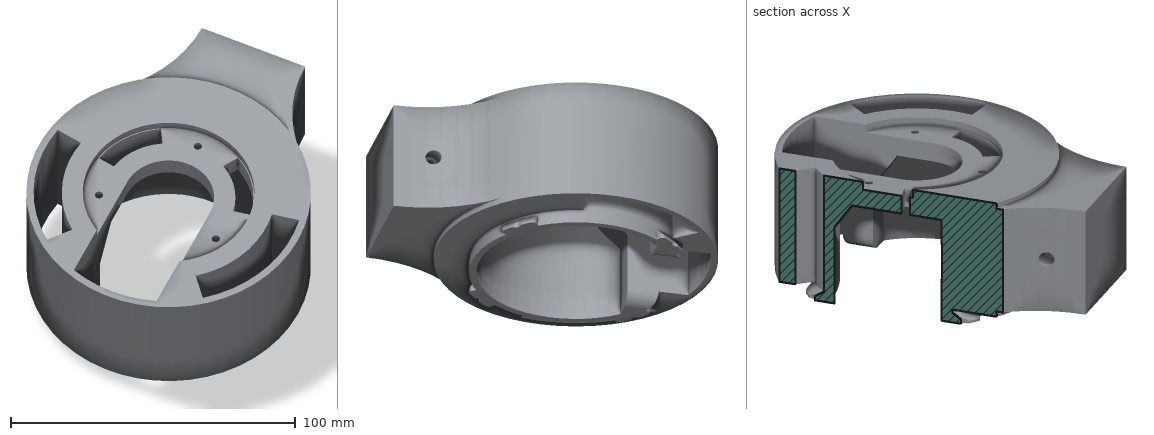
import cadquery as cq
import math

body_radius = 50.0
body_height = 44.1
foot_height = 5.0
total_length = 121.1
top_z = foot_height + body_height

wall_inner_radius = 47.5
foot_radius = 37.5
cavity_radius = 35.0

neck_half_width = 20.0
neck_inset = 2.0
neck_end_y = total_length - body_radius
cross_hole_diameter = 2.9
cross_hole_from_end = 13.9
cross_counterbore_diameter = 5.5
cross_counterbore_floor_x = 17.0

recess_radius = 30.1
recess_depth = 3.0
plate_thickness = 7.0
plate_bottom_z = top_z - recess_depth - plate_thickness

slope_start_y = -13.6
slope_end_y = -22.8
slope_drop = 13.2

opening_half_width = 16.0
opening_flare_radius = foot_height

outer_slot_angles = (170, 309.5)
outer_slot_sweep = 60.5
inner_slot_angles = (10, 120)
inner_slot_sweep = 50
inner_slot_radii = (23.5, 29.8)
screw_hole_angles = (90, 202.5, 337.5)
screw_hole_circle_radius = 24.5
screw_hole_diameter = 2.9

lug_angles = (45, 135, 225, 315)
lug_sweep = 20
lug_radius = 40.6
lug_edge_height = 1.0
lug_top_gap = 1.0
lug_corner_radius = 1.5
detent_radius = 1.8
detent_depth = 1.0

root_overlap = 1.2
cut_margin = 1.2


def polar(radius, angle):
    """Point at the given radius and angle in degrees."""
    return (radius * math.cos(math.radians(angle)), radius * math.sin(math.radians(angle)))


def cylinder(radius, z_low, z_high):
    return cq.Workplane("XY").workplane(offset=z_low).circle(radius).extrude(z_high - z_low)


def ring_sector(inner_radius, outer_radius, start, sweep, z_low, z_high):
    """Part of a ring, from the start angle counterclockwise over the sweep."""
    middle = start + sweep / 2
    end = start + sweep
    return (
        cq.Workplane("XY")
        .workplane(offset=z_low)
        .moveTo(*polar(inner_radius, start))
        .lineTo(*polar(outer_radius, start))
        .threePointArc(polar(outer_radius, middle), polar(outer_radius, end))
        .lineTo(*polar(inner_radius, end))
        .threePointArc(polar(inner_radius, middle), polar(inner_radius, start))
        .close()
        .extrude(z_high - z_low)
    )


def neck():
    """Neck whose concave sides leave the end face square and run tangent into the body."""
    width_difference = body_radius - neck_half_width
    side_radius = (neck_half_width**2 + neck_end_y**2 - body_radius**2) / (2 * width_difference)
    center_x = neck_half_width + side_radius
    tangent_angle = math.degrees(math.atan2(neck_end_y, center_x))
    tangent_x, tangent_y = polar(body_radius, tangent_angle)
    offset_x, offset_y = polar(side_radius, 180 + tangent_angle / 2)
    middle_x = center_x + offset_x
    middle_y = neck_end_y + offset_y
    return (
        cq.Workplane("XY")
        .workplane(offset=foot_height + neck_inset)
        .moveTo(-neck_half_width, neck_end_y)
        .lineTo(neck_half_width, neck_end_y)
        .threePointArc((middle_x, middle_y), (tangent_x, tangent_y))
        .lineTo(0, 0)
        .lineTo(-tangent_x, tangent_y)
        .threePointArc((-middle_x, middle_y), (-neck_half_width, neck_end_y))
        .close()
        .extrude(body_height - 2 * neck_inset)
    )


def lug(angle):
    """Bayonet lug with a conical top, rounded ends and a detent groove in its middle."""
    lug_top_z = foot_height - lug_top_gap
    outline = ring_sector(
        foot_radius - root_overlap, lug_radius, angle - lug_sweep / 2, lug_sweep, 0, lug_top_z
    )
    for side in (-1, 1):
        x, y = polar(lug_radius, angle + side * lug_sweep / 2)
        edge = cq.selectors.NearestToPointSelector((x, y, lug_top_z / 2))
        outline = outline.edges("|Z").edges(edge).fillet(lug_corner_radius)
    envelope = (
        cq.Workplane("XZ")
        .polyline(
            [
                (0, 0),
                (lug_radius, 0),
                (lug_radius, lug_edge_height),
                (foot_radius, lug_top_z),
                (0, lug_top_z),
            ]
        )
        .close()
        .revolve(360, (0, 0), (0, 1))
    )
    detent_center = polar(lug_radius - detent_depth + detent_radius, angle)
    detent = cq.Workplane("XY").center(*detent_center).circle(detent_radius).extrude(lug_top_z)
    return outline.intersect(envelope).cut(detent)


def cavity():
    """Round cavity below the top plate, closed at the front by a wall with a sloping upper part."""
    side_profile = (
        cq.Workplane("YZ")
        .moveTo(cavity_radius, 0)
        .lineTo(cavity_radius, plate_bottom_z)
        .lineTo(slope_start_y, plate_bottom_z)
        .lineTo(slope_end_y, plate_bottom_z - slope_drop)
        .lineTo(slope_end_y, 0)
        .close()
        .extrude(cavity_radius, both=True)
    )
    return cylinder(cavity_radius, 0, plate_bottom_z).intersect(side_profile)


def u_opening():
    """Opening with a round back end that reaches the outer wall at the front."""
    straight = cq.Workplane("XY").rect(2 * opening_half_width, body_radius).extrude(top_z)
    straight = straight.translate((0, -body_radius / 2, 0))
    flare_x = opening_half_width + opening_flare_radius
    arc_offset = opening_flare_radius * (1 - math.sqrt(0.5))
    flare = (
        cq.Workplane("XZ")
        .moveTo(-flare_x, 0)
        .lineTo(flare_x, 0)
        .threePointArc(
            (opening_half_width + arc_offset, arc_offset), (opening_half_width, opening_flare_radius)
        )
        .lineTo(-opening_half_width, opening_flare_radius)
        .threePointArc((-opening_half_width - arc_offset, arc_offset), (-flare_x, 0))
        .close()
        .extrude(body_radius)
    )
    opening = cylinder(opening_half_width, 0, top_z).union(straight).union(flare)
    return opening.intersect(cylinder(wall_inner_radius, 0, top_z))


def cross_hole():
    """Hole across the neck along X, counterbored from both sides."""
    center = (neck_end_y - cross_hole_from_end, foot_height + body_height / 2)
    drill = (
        cq.Workplane("YZ").center(*center).circle(cross_hole_diameter / 2).extrude(body_radius, both=True)
    )
    for direction in (-1, 1):
        counterbore = (
            cq.Workplane("YZ")
            .workplane(offset=direction * cross_counterbore_floor_x)
            .center(*center)
            .circle(cross_counterbore_diameter / 2)
            .extrude(direction * body_radius)
        )
        drill = drill.union(counterbore)
    return drill


result = cylinder(body_radius, foot_height, top_z)
result = result.union(neck())
result = result.union(cylinder(foot_radius, 0, foot_height))
for lug_angle in lug_angles:
    result = result.union(lug(lug_angle))

result = result.cut(cylinder(recess_radius, top_z - recess_depth, top_z))
result = result.cut(cavity())
result = result.cut(u_opening())

for start_angle in outer_slot_angles:
    result = result.cut(
        ring_sector(foot_radius, wall_inner_radius, start_angle, outer_slot_sweep, foot_height, top_z)
    )
for start_angle in inner_slot_angles:
    result = result.cut(
        ring_sector(*inner_slot_radii, start_angle, inner_slot_sweep, plate_bottom_z - cut_margin, top_z)
    )

for hole_angle in screw_hole_angles:
    screw_hole = cylinder(screw_hole_diameter / 2, 0, top_z)
    result = result.cut(screw_hole.translate((*polar(screw_hole_circle_radius, hole_angle), 0)))

result = result.cut(cross_hole())